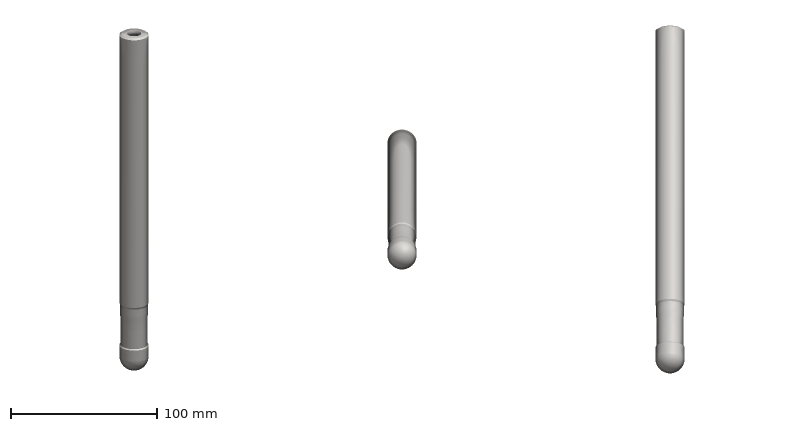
import cadquery as cq

total_length = 250.0
shaft_radius = 10.0

shaft_bottom = 48.5
bottom_chamfer_height = 1.5
bottom_face_radius = 9.5
top_chamfer_height = 1.0
top_face_radius = 8.5
hole_radius = 8.0 / 2
hole_depth = 25.0
hole_mouth_radius = 5.0
hole_tip_height = 2.2
countersink_depth = 1.7

nose_radius = shaft_radius
head_top = 19.0
head_chamfer = 0.7
neck_radius = 18.5 / 2
neck_top = 32.5
collar_radius = 19.0 / 2
collar_bottom = 43.0


def make_shaft():
    """Round shaft with chamfered ends and a blind, countersunk, cone-ended hole in the top."""
    hole_floor = total_length - hole_depth
    profile = (
        cq.Workplane("XZ")
        .moveTo(0, shaft_bottom)
        .lineTo(bottom_face_radius, shaft_bottom)
        .lineTo(shaft_radius, shaft_bottom + bottom_chamfer_height)
        .lineTo(shaft_radius, total_length - top_chamfer_height)
        .lineTo(top_face_radius, total_length)
        .lineTo(hole_mouth_radius, total_length)
        .lineTo(hole_radius, total_length - countersink_depth)
        .lineTo(hole_radius, hole_floor)
        .lineTo(0, hole_floor - hole_tip_height)
        .close()
    )
    return profile.revolve(360, (0, 0, 0), (0, 1, 0))


def make_tip():
    """Ball-nosed tip whose neck widens through a taper to the collar under the shaft."""
    arc_middle = nose_radius * 0.5 ** 0.5
    profile = (
        cq.Workplane("XZ")
        .moveTo(0, 0)
        .threePointArc((arc_middle, nose_radius - arc_middle), (nose_radius, nose_radius))
        .lineTo(shaft_radius, head_top - head_chamfer)
        .lineTo(neck_radius, head_top)
        .lineTo(neck_radius, neck_top)
        .lineTo(collar_radius, collar_bottom)
        .lineTo(collar_radius, shaft_bottom)
        .lineTo(0, shaft_bottom)
        .close()
    )
    return profile.revolve(360, (0, 0, 0), (0, 1, 0))


shaft = make_shaft()
tip = make_tip()

result = cq.Compound.makeCompound([shaft.val(), tip.val()])